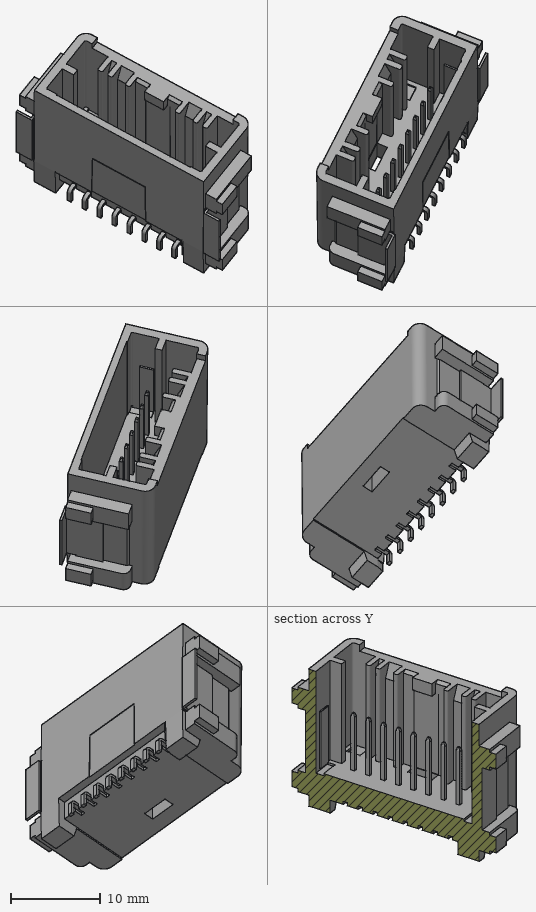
import cadquery as cq

overlap = 0.27

body_width = 22.7
half_width = body_width / 2
top_z = 17.8
body_bottom = 1.41
overhang_z = 4.25
back_y = 9.9
back_draft = 0.1
front_bulge = 0.1
rear_corner_radius = 1.22

cavity_half = 10.35
cavity_front = 0.95
cavity_front_mid = 0.85
cavity_front_mid_half = 8.95
cavity_back = 8.86
cavity_corner_radius = 0.22
floor_z = 4.9

back_wall_top = 16.97
back_notch_half = 9.43
thick_wall_y = 7.9
rib_width = 0.65
rib_tip_y = 6.75
rib_tip_radius = 0.22
rib_centers = (3.35, 5.7, 7.02)
lead_in_y = 8.67
lead_in_drop = 1.77
mid_lead_in_y = 8.32
mid_lead_in_drop = 0.33
latch_half = 1.28
latch_y = 7.15
latch_height = 1.6
latch_window_half = 1.63
latch_window_front = 6.65
latch_relief = 0.08

key_inner_x = 8.85
key_y = (4.2, 5.0)
recess_depth = 0.27
rear_recess_x = (8.08, 9.87)
rear_recess_y = (6.85, cavity_back)
front_recess_x = (9.33, cavity_half)
front_recess_y = (cavity_front, 3.6)
liner_x = 10.17
liner_y = (1.95, 3.6)

foot_inner_x = 8.48
foot_chamfer = 0.2
underside_z = 1.65
underside_recess = 0.82
foot_back_top = 2.72
foot_back_bottom = 2.28

window_half_top = 3.53
window_half_bottom = 3.62
window_top = 10.69

wing_x = 12.78
wing_front = 0.4
wing_back = 7.53
lower_wing_radius = 0.85
upper_wing_z = (12.25, 15.0)
lower_wing_z = (body_bottom, overhang_z)
tab_x = 13.6
tab_back = 3.4
tab_margin_top = 0.35
tab_margin_bottom = 0.4

plate_x = 11.5
plate_back = 7.2
plate_slope = 0.25
bracket_front = -0.27
bracket_z = (4.38, 12.18)
bracket_thickness = 0.27
bracket_leg_front = 1.03
bracket_leg_back = 4.21

pin_count = 8
pin_row_length = 14.0
pin_pitch = pin_row_length / (pin_count - 1)
pin_width = 0.52
pin_y = 3.8
pin_depth = 0.44
pin_top = 12.24
pin_tip_length = 0.4
pin_tip_size = 0.22
tail_offset = pin_pitch / 4
tail_top = 2.45
tail_bottom = 0.33
tail_slot_back = 1.77
tail_thickness = 0.38
tail_bend_radius = 0.63


def box(x, y, z):
    """Axis-aligned box between the two values of each (low, high) pair."""
    size = (x[1] - x[0], y[1] - y[0], z[1] - z[0])
    return cq.Workplane("XY").box(*size, centered=False).translate((x[0], y[0], z[0]))


def side_prism(points, x):
    """Prism along X from a closed (Y, Z) outline."""
    return cq.Workplane("YZ").polyline(points).close().extrude(x[1] - x[0]).translate((x[0], 0, 0))


def both_sides(shape):
    """Shape plus its mirror image across the YZ plane."""
    return shape.union(shape.mirror("YZ"))


def make_housing():
    outline = [
        (0, top_z),
        (-front_bulge, overhang_z),
        (0, body_bottom),
        (back_y - back_draft, body_bottom),
        (back_y, top_z),
    ]
    housing = side_prism(outline, (-half_width, half_width))
    housing = housing.faces(">Y").edges("not |X").fillet(rear_corner_radius)
    cavity = box((-cavity_half, cavity_half), (cavity_front, cavity_back), (floor_z, top_z))
    cavity = cavity.edges("|Z").fillet(cavity_corner_radius)
    front_mid = box(
        (-cavity_front_mid_half, cavity_front_mid_half),
        (cavity_front_mid, cavity_back),
        (floor_z, top_z),
    )
    return housing.cut(cavity).cut(front_mid)


def make_back_notch():
    """Cut that lowers the back wall between its two rounded corners."""
    return box(
        (-back_notch_half, back_notch_half),
        (cavity_back, back_y + overlap),
        (back_wall_top, top_z),
    )


def make_ribs():
    ribs = cq.Workplane("XY")
    for center in rib_centers:
        rib = box(
            (center - rib_width / 2, center + rib_width / 2),
            (rib_tip_y, back_y - overlap),
            (floor_z, back_wall_top),
        )
        ribs = ribs.union(rib.edges("|Z and <Y").fillet(rib_tip_radius))
    return both_sides(ribs)


def lead_in(x, back, drop):
    """Sloped lead-in cut along the top edge of the thick wall."""
    outline = [
        (back, back_wall_top),
        (thick_wall_y, back_wall_top - drop),
        (thick_wall_y, back_wall_top),
    ]
    return side_prism(outline, x)


def make_back_wall():
    thick_half = rib_centers[-1]
    wall = box((-thick_half, thick_half), (thick_wall_y, cavity_back), (floor_z, back_wall_top))
    inner = rib_centers[0]
    wall = wall.cut(both_sides(lead_in((latch_half, inner), mid_lead_in_y, mid_lead_in_drop)))
    wall = wall.cut(both_sides(lead_in((inner, thick_half), lead_in_y, lead_in_drop)))
    latch = box(
        (-latch_half, latch_half),
        (latch_y, cavity_back),
        (back_wall_top - latch_height, back_wall_top),
    )
    return wall.union(make_ribs()).union(latch).cut(make_latch_relief())


def make_latch_relief():
    """Cut that makes the wall under the latch lean back towards the floor."""
    outline = [
        (thick_wall_y, back_wall_top - latch_height),
        (thick_wall_y + latch_relief, floor_z),
        (latch_y, floor_z),
        (latch_y, back_wall_top - latch_height),
    ]
    return side_prism(outline, (-latch_window_half, latch_window_half))


def make_latch_window():
    """Opening through the floor in front of the wall under the latch."""
    return box(
        (-latch_window_half, latch_window_half),
        (latch_window_front, thick_wall_y),
        (body_bottom, floor_z),
    )


def make_keys():
    key = box((key_inner_x, half_width), key_y, (floor_z, top_z))
    liner = box((liner_x, cavity_half), liner_y, (floor_z, upper_wing_z[0]))
    return both_sides(key.union(liner))


def make_floor_recesses():
    depth = (floor_z - recess_depth, floor_z)
    rear = box(rear_recess_x, rear_recess_y, depth)
    front = box(front_recess_x, front_recess_y, depth)
    return both_sides(rear.union(front))


def make_feet():
    outline = [
        (-front_bulge, overhang_z),
        (0, 0),
        (foot_back_bottom, 0),
        (foot_back_top, body_bottom),
        (foot_back_top, overhang_z),
    ]
    feet = both_sides(side_prism(outline, (foot_inner_x, half_width)))
    chamfer = (
        cq.Workplane("XY")
        .polyline(
            [
                (foot_inner_x, -front_bulge),
                (foot_inner_x + foot_chamfer, -front_bulge),
                (foot_inner_x, underside_recess),
            ]
        )
        .close()
        .extrude(overhang_z)
    )
    return feet.cut(chamfer)


def make_underside():
    """Space between the feet: the floor is raised and its front set back."""
    across = (-foot_inner_x, foot_inner_x)
    raised = box(across, (-overlap, back_y), (body_bottom, underside_z))
    set_back = box(across, (-overlap, underside_recess), (body_bottom, overhang_z))
    return raised.union(set_back)


def make_front_window():
    """Shallow recess that brings the bulging front face back to y = 0."""
    face = [
        (-window_half_bottom, overhang_z),
        (-window_half_top, window_top),
        (window_half_top, window_top),
        (window_half_bottom, overhang_z),
    ]
    return cq.Workplane("XZ").polyline(face).close().extrude(front_bulge)


def make_wing(z, rear_radius=0):
    wing = box((cavity_half, wing_x), (wing_front, wing_back), z)
    if rear_radius:
        wing = wing.edges("|Z and >X and >Y").fillet(rear_radius)
    tab_z = (z[0] + tab_margin_bottom, z[1] - tab_margin_top)
    tab = box((cavity_half, tab_x), (wing_front, tab_back), tab_z)
    return wing.union(tab)


def make_bracket():
    """Side plate carrying an L-shaped solder bracket."""
    plate = (
        cq.Workplane("XY")
        .polyline(
            [
                (cavity_half, 0),
                (plate_x, 0),
                (plate_x, plate_back - plate_slope),
                (half_width, plate_back),
                (cavity_half, plate_back),
            ]
        )
        .close()
        .extrude(upper_wing_z[0] - overhang_z)
        .translate((0, 0, overhang_z))
    )
    leg_x = (plate_x, plate_x + bracket_thickness)
    leg = box(leg_x, (bracket_leg_front, bracket_leg_back), (overhang_z, upper_wing_z[0]))
    bend = box(leg_x, (bracket_front, bracket_leg_front), bracket_z)
    flange = box((plate_x, tab_x), (bracket_front, bracket_front + bracket_thickness), bracket_z)
    return plate.union(leg).union(bend).union(flange)


def make_pin():
    tip_base = pin_top - pin_tip_length
    post = box(
        (-pin_width / 2, pin_width / 2),
        (pin_y - pin_depth / 2, pin_y + pin_depth / 2),
        (floor_z - overlap, tip_base),
    )
    tip = (
        cq.Workplane("XY", origin=(0, pin_y, tip_base))
        .rect(pin_width, pin_depth)
        .workplane(offset=pin_tip_length)
        .rect(pin_tip_size, pin_tip_size)
        .loft()
    )
    return post.union(tip)


def make_tail():
    """Tail leaving the housing forwards and bending straight down."""
    front = bracket_front
    embedded_y = tail_slot_back + overlap
    inner_y = front + tail_thickness
    inner_z = tail_top - tail_thickness
    bar = side_prism(
        [
            (front, tail_bottom),
            (front, tail_top),
            (embedded_y, tail_top),
            (embedded_y, inner_z),
            (inner_y, inner_z),
            (inner_y, tail_bottom),
        ],
        (-pin_width / 2, pin_width / 2),
    )
    return bar.edges("|X and <Y and >Z").fillet(tail_bend_radius)


def make_tail_slot():
    """Notch in the underside below a tail."""
    return box(
        (-pin_width / 2, pin_width / 2),
        (underside_recess - overlap, tail_slot_back),
        (body_bottom, tail_top - tail_thickness),
    )


housing = make_housing()
housing = housing.cut(make_back_notch()).union(make_back_wall()).union(make_keys())
housing = housing.cut(make_floor_recesses()).cut(make_underside()).union(make_feet())
housing = housing.cut(make_front_window()).cut(make_latch_window())

side_parts = make_wing(upper_wing_z).union(make_bracket())
side_parts = side_parts.union(make_wing(lower_wing_z, lower_wing_radius))
result = housing.union(both_sides(side_parts))

for index in range(pin_count):
    pin_x = index * pin_pitch - pin_row_length / 2
    result = result.union(make_pin().translate((pin_x, 0, 0)))
    tail_x = pin_x + tail_offset
    result = result.cut(make_tail_slot().translate((tail_x, 0, 0)))
    result = result.union(make_tail().translate((tail_x, 0, 0)))